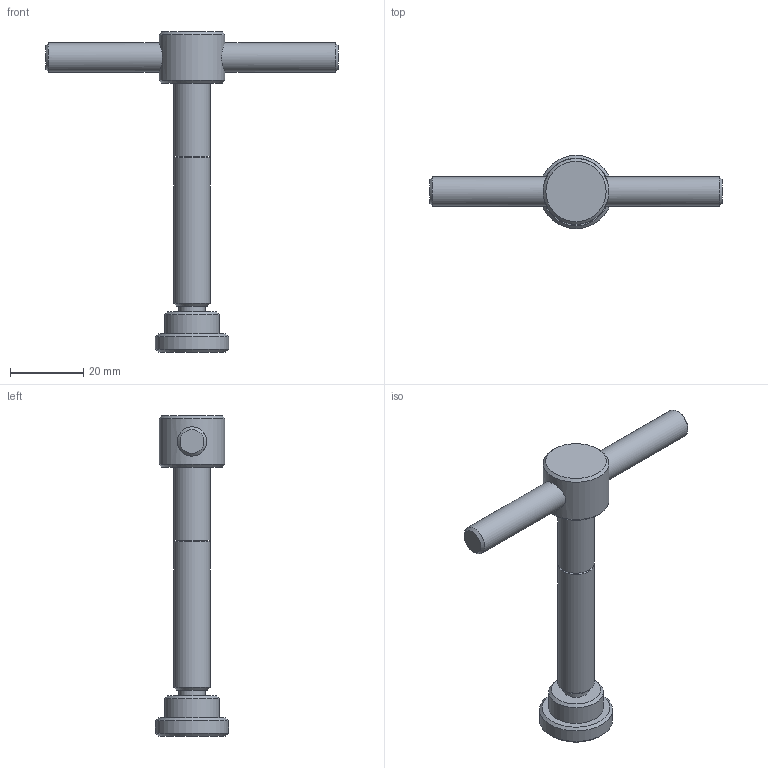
import cadquery as cq
import math

foot_diameter = 20.0
foot_height = 5.0
collar_diameter = 15.0
collar_height = 6.0

neck_diameter = 7.2
neck_height = 1.55
spindle_diameter = 10.0
thread_length = 41.0
shank_length = 20.0
thread_chamfer = 0.8
thread_chamfer_angle = 30.0

head_diameter = 18.0
head_height = 14.0
bar_diameter = 8.0
bar_length = 80.0
bar_drop = 7.0

edge_chamfer = 0.75

collar_base = foot_height
neck_base = collar_base + collar_height
spindle_base = neck_base + neck_height
shank_base = spindle_base + thread_length
head_base = shank_base + shank_length
head_top = head_base + head_height


def cylinder(diameter, base, height):
    """Upright cylinder on the Z axis."""
    return cq.Workplane("XY").workplane(offset=base).circle(diameter / 2).extrude(height)


def make_foot():
    """Stepped foot: chamfered disc carrying a collar chamfered at its top."""
    disc = cylinder(foot_diameter, 0, foot_height).edges().chamfer(edge_chamfer)
    collar = cylinder(collar_diameter, collar_base, collar_height).faces(">Z").edges().chamfer(edge_chamfer)
    return disc.union(collar)


def make_spindle():
    """Neck, threaded length chamfered at both ends, and plain shank up to the head."""
    neck = cylinder(neck_diameter, neck_base, neck_height)
    thread = cylinder(spindle_diameter, spindle_base, thread_length)
    thread = thread.faces("<Z").edges().chamfer(thread_chamfer)
    chamfer_height = thread_chamfer * math.tan(math.radians(thread_chamfer_angle))
    thread = thread.faces(">Z").edges().chamfer(chamfer_height, thread_chamfer)
    shank = cylinder(spindle_diameter, shank_base, shank_length)
    return neck.union(thread).union(shank)


def make_head():
    """Round head chamfered at both ends."""
    return cylinder(head_diameter, head_base, head_height).edges().chamfer(edge_chamfer)


def make_bar():
    """Cross bar along X through the head, chamfered at both ends."""
    bar = (
        cq.Workplane("YZ")
        .center(0, head_top - bar_drop)
        .circle(bar_diameter / 2)
        .extrude(bar_length / 2, both=True)
    )
    return bar.faces("<X or >X").edges().chamfer(edge_chamfer)


result = make_foot().union(make_spindle()).union(make_head()).union(make_bar())